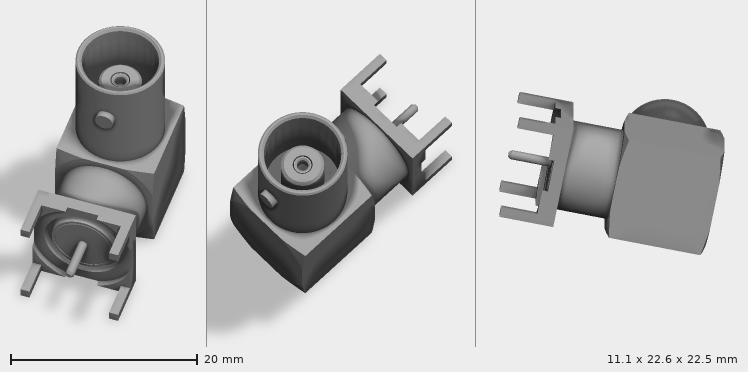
import cadquery as cq
import math


block_side = 11.08
block_depth = 10.95
turned_radius = 6.0
corner_bevel_depth = 0.48

barrel_radius = 4.82
barrel_top = 16.92
rim_bevel = 0.18
rim_inner_radius = 4.43
mouth_radius = 4.16
mouth_depth = 0.25
bore_radius = 4.03
floor_depth = 8.6

lug_radius = 1.0
lug_span = 11.04
lug_height = 12.65

nose_radius = 2.33
nose_tip_radius = 2.01
nose_depth = 3.37
nose_bevel = 0.32
flange_radius = 3.23
flange_step = 0.1
key_width = 0.4
key_depth = 0.36
side_key_offset = 1.52
side_key_reach = 2.47
contact_hole_radius = 1.06
contact_radius = 0.95
contact_mouth_radius = 0.8
contact_bore_radius = 0.6
contact_recess = 0.1
contact_mouth_depth = 0.18
contact_bore_depth = 1.35
contact_hole_depth = 2.71

neck_radius = 4.86
plate_back = 11.1
hub_face = 12.45
plate_face = 13.07
leg_end = 17.0
hub_recess_radius = 5.81
leg_side = 1.02

groove_outer_radius = 4.39
groove_floor_radius = 3.8
groove_lip_radius = 3.55
groove_depth = 0.97
disc_hole_radius = 3.25
disc_face_radius = 3.15
disc_bevel = 0.1

overall_length = 22.62
pin_radius = 0.5
pin_tip_radius = 0.27
pin_tip_length = 0.3
pin_end = overall_length - lug_span / 2


def turned_upright(profile):
    """Revolve a closed (radius, z) profile around the Z axis."""
    return cq.Workplane("XZ").polyline(profile).close().revolve(360, (0, 0), (0, 1))


def turned_forward(profile):
    """Revolve a closed (radius, distance) profile around the neck axis; distance runs toward -Y."""
    return turned_upright(profile).rotate((0, 0, 0), (1, 0, 0), 90)


def forward_block(width, height, start, end):
    """A box centred on the neck axis, between two distances toward -Y."""
    return cq.Workplane("XY").box(width, end - start, height).translate((0, -(start + end) / 2, 0))


def elbow_block():
    half_depth = block_depth / 2
    corner_radius = block_side / math.sqrt(2)
    shoulder = half_depth - corner_bevel_depth
    envelope = turned_forward([
        (0, -half_depth),
        (turned_radius, -half_depth),
        (corner_radius, -shoulder),
        (corner_radius, shoulder),
        (turned_radius, half_depth),
        (0, half_depth),
    ])
    return forward_block(block_side, block_side, -half_depth, half_depth).intersect(envelope)


def barrel():
    """The solid barrel with its bayonet pins, and the cavity to cut from it."""
    outside = turned_upright([
        (0, 0),
        (barrel_radius, 0),
        (barrel_radius, barrel_top - rim_bevel),
        (barrel_radius - rim_bevel, barrel_top),
        (0, barrel_top),
    ])
    lugs = cq.Workplane("XZ").center(0, lug_height).circle(lug_radius).extrude(lug_span / 2, both=True)
    floor = barrel_top - floor_depth
    cavity = turned_upright([
        (0, floor),
        (bore_radius, floor),
        (mouth_radius, barrel_top - mouth_depth),
        (rim_inner_radius, barrel_top),
        (0, barrel_top),
    ])
    return outside.union(lugs), cavity


def insulator():
    floor = barrel_top - floor_depth
    nose_top = barrel_top - nose_depth
    flange = cq.Workplane("XY").workplane(offset=floor).circle(flange_radius).extrude(flange_step)
    keyways = (
        cq.Workplane("XY").workplane(offset=floor)
        .center(flange_radius, 0)
        .rect(2 * key_depth, key_width)
        .extrude(flange_step)
    )
    for side in (-1, 1):
        keyways = keyways.union(
            cq.Workplane("XY").workplane(offset=floor)
            .center(-side_key_offset, side * flange_radius)
            .rect(key_width, 2 * (flange_radius - side_key_reach))
            .extrude(flange_step)
        )
    nose = turned_upright([
        (0, floor),
        (nose_radius, floor),
        (nose_radius, nose_top - nose_bevel),
        (nose_tip_radius, nose_top),
        (contact_hole_radius, nose_top),
        (contact_hole_radius, nose_top - contact_hole_depth),
        (0, nose_top - contact_hole_depth),
    ])
    return flange.cut(keyways).union(nose)


def socket_contact():
    tip = barrel_top - nose_depth - contact_recess
    bore_end = tip - contact_bore_depth
    return turned_upright([
        (0, barrel_top - floor_depth),
        (contact_radius, barrel_top - floor_depth),
        (contact_radius, tip),
        (contact_mouth_radius, tip),
        (contact_bore_radius, tip - contact_mouth_depth),
        (contact_bore_radius, bore_end),
        (0, bore_end - contact_bore_radius),
    ])


def mounting_plate():
    plate = forward_block(block_side, block_side, plate_back, plate_face)
    recess = turned_forward([
        (0, hub_face),
        (hub_recess_radius, hub_face),
        (hub_recess_radius, plate_face),
        (0, plate_face),
    ])
    leg_offset = block_side - leg_side
    legs = (
        cq.Workplane("XZ").workplane(offset=plate_back)
        .rarray(leg_offset, leg_offset, 2, 2)
        .rect(leg_side, leg_side)
        .extrude(leg_end - plate_back)
    )
    return plate.cut(recess).union(legs)


def neck():
    """The neck starts at the socket axis, inside the elbow block, and ends at the hub face."""
    return turned_forward([(0, 0), (neck_radius, 0), (neck_radius, hub_face), (0, hub_face)])


def hub_groove():
    return turned_forward([
        (groove_lip_radius, hub_face),
        (groove_floor_radius, hub_face - groove_depth),
        (groove_outer_radius, hub_face - groove_depth),
        (groove_outer_radius, hub_face),
    ])


def disc_edge_groove():
    return turned_forward([
        (disc_face_radius, hub_face),
        (disc_hole_radius, hub_face - disc_bevel),
        (disc_hole_radius, hub_face),
    ])


def solder_pin():
    return turned_forward([
        (0, plate_back),
        (pin_radius, plate_back),
        (pin_radius, pin_end - pin_tip_length),
        (pin_tip_radius, pin_end),
        (0, pin_end),
    ])


mount = neck().union(mounting_plate()).cut(hub_groove()).cut(disc_edge_groove()).union(solder_pin())
shell, cavity = barrel()
elbow = elbow_block().union(shell).cut(cavity).union(insulator()).union(socket_contact())
result = elbow.union(mount)